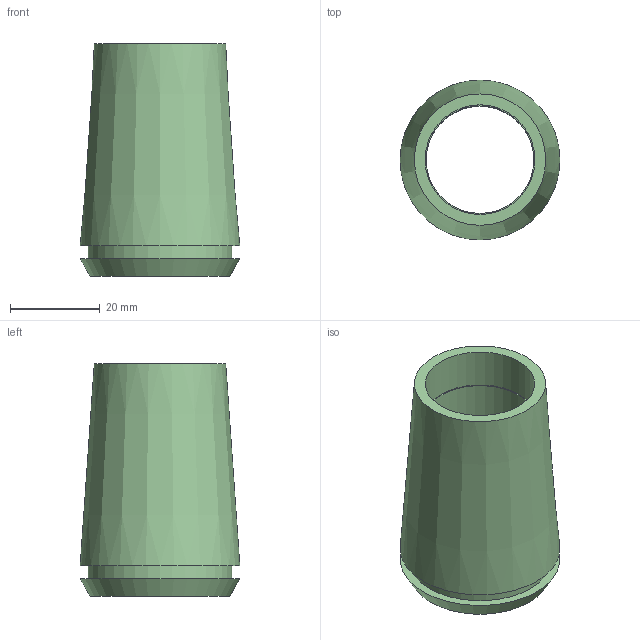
import cadquery as cq
import math

total_height = 52.0
flange_height = 4.0
groove_width = 2.85
taper_base_z = flange_height + groove_width

flange_radius = 17.86
flange_angle = 30.0
flange_base_radius = flange_radius - flange_height * math.tan(math.radians(flange_angle))
groove_radius = 16.0
taper_top_radius = 14.67
taper_angle = 4.0
taper_height = total_height - taper_base_z
taper_base_radius = taper_top_radius + taper_height * math.tan(math.radians(taper_angle))

bore_radius = 12.0
counterbore_radius = 12.25
counterbore_depth = 9.0


def sleeve_body():
    """Conical flange, groove and long tapered shank, revolved about Z from a profile on the -Y side."""
    return (
        cq.Workplane("YZ")
        .moveTo(0, 0)
        .lineTo(-flange_base_radius, 0)
        .lineTo(-flange_radius, flange_height)
        .lineTo(-groove_radius, flange_height)
        .lineTo(-groove_radius, taper_base_z)
        .lineTo(-taper_base_radius, taper_base_z)
        .lineTo(-taper_top_radius, total_height)
        .lineTo(0, total_height)
        .close()
        .revolve(360, (0, 0, 0), (0, 1, 0))
    )


def stepped_bore():
    """Through bore with a slightly wider counterbore at the top."""
    bore = cq.Workplane("XY").circle(bore_radius).extrude(total_height)
    counterbore = (
        cq.Workplane("XY")
        .workplane(offset=total_height - counterbore_depth)
        .circle(counterbore_radius)
        .extrude(counterbore_depth)
    )
    return bore.union(counterbore)


result = sleeve_body().cut(stepped_bore())